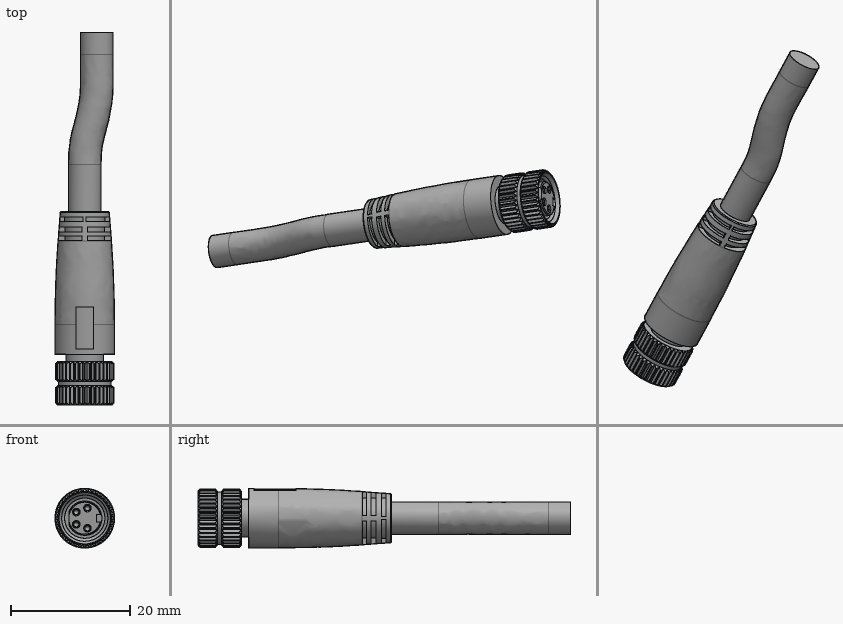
import cadquery as cq
import math

length = 62.5

nut_radius = 4.9
nut_length = 7.3
nut_chamfer = 0.4
waist_radius = 4.45
waist_start = 3.3
waist_end = 3.95
tooth_count = 36
tooth_valley_radius = 4.5
tooth_tip_fraction = 0.2
mouth_radius = 4.3
throat_radius = 3.9
throat_depth = 0.6
bore_radius = 3.4
bore_cone_end = 1.0
bore_depth = 2.5

carrier_radius = 2.9
carrier_chamfer = 0.2
carrier_recess = 0.2
carrier_flat = 2.6
keyway_floor = 2.0
keyway_width = 1.3
keyway_depth = 1.25
contact_circle_radius = 1.75
contact_angles = (75, 144, 216, 285)
contact_radius = 0.45
contact_mouth_radius = 0.6
contact_depth = 1.25

neck_radius = 3.2
grip_start = 8.5
grip_radius = 5.0
taper_start = 13.5
relief_start = 27.5
relief_radius = 4.5
grip_end = 32.5
grip_end_radius = 4.1
grip_end_chamfer = 0.2

window_rows = ((27.55, 28.3, 0.9), (29.05, 29.9, 0.9), (30.8, 31.55, 0.5))
window_floor_radius = 3.4

label_width = 2.95
label_start = 9.45
label_end = 16.45
label_depth = 0.1

overlap = 0.6

cable_radius = 2.75
bend_start = 40.3
bend_end = 58.75
cable_offset = 2.0
bend_points = ((0, bend_start), (0.28, 44.05), (1.05, 47.2), (1.7, 50.05), (cable_offset, bend_end))


def revolve_y(points):
    """Revolve a closed (radius, y) outline about the Y axis."""
    return cq.Workplane("XY").polyline(points).close().revolve(360, (0, 0, 0), (0, 1, 0))


def cylinder_y(radius, start, end, x=0.0):
    return cq.Workplane("XZ", origin=(x, start, 0)).circle(radius).extrude(start - end)


def box(x_range, y_range, z_range):
    sizes = [high - low for low, high in (x_range, y_range, z_range)]
    corner = (x_range[0], y_range[0], z_range[0])
    return cq.Workplane("XY").box(*sizes, centered=False).translate(corner)


def toothed_prism():
    """Star-shaped bar whose narrow tooth tips lie on the nut radius."""
    pitch = 2 * math.pi / tooth_count
    half_tip = pitch * tooth_tip_fraction / 2
    corners = []
    for tooth in range(tooth_count):
        middle = tooth * pitch
        for radius, angle in (
            (nut_radius, middle - half_tip),
            (nut_radius, middle + half_tip),
            (tooth_valley_radius, middle + pitch / 2),
        ):
            corners.append((radius * math.cos(angle), radius * math.sin(angle)))
    return cq.Workplane("XZ").polyline(corners).close().extrude(-nut_length)


def make_nut():
    shoulder = nut_radius - nut_chamfer
    blank = revolve_y([
        (0, 0),
        (shoulder, 0),
        (nut_radius, nut_chamfer),
        (nut_radius, waist_start - nut_chamfer),
        (waist_radius, waist_start),
        (waist_radius, waist_end),
        (nut_radius, waist_end + nut_chamfer),
        (nut_radius, nut_length - nut_chamfer),
        (shoulder, nut_length),
        (0, nut_length),
    ])
    cavity = revolve_y([
        (0, 0),
        (mouth_radius, 0),
        (throat_radius, throat_depth),
        (bore_radius, bore_cone_end),
        (bore_radius, bore_depth),
        (0, bore_depth),
    ])
    return blank.intersect(toothed_prism()).cut(cavity)


def contact_hole(angle):
    """Hole with a chamfered mouth and a conical bottom, placed on the contact circle."""
    mouth_depth = contact_mouth_radius - contact_radius
    hole = revolve_y([
        (0, carrier_recess),
        (contact_mouth_radius, carrier_recess),
        (contact_radius, carrier_recess + mouth_depth),
        (contact_radius, contact_depth),
        (0, contact_depth + contact_radius),
    ])
    x = contact_circle_radius * math.cos(math.radians(angle))
    z = contact_circle_radius * math.sin(math.radians(angle))
    return hole.translate((x, 0, z))


def make_carrier():
    carrier = cylinder_y(carrier_radius, carrier_recess, nut_length).faces("<Y").chamfer(carrier_chamfer)
    side = (-carrier_radius, carrier_radius)
    carrier = carrier.cut(box((-2 * carrier_radius, -carrier_flat), (0, bore_depth), side))
    keyway_side = (-keyway_width / 2, keyway_width / 2)
    carrier = carrier.cut(box((keyway_floor, 2 * carrier_radius), (0, keyway_depth), keyway_side))
    for angle in contact_angles:
        carrier = carrier.cut(contact_hole(angle))
    return carrier


def window_row(start, end, rib_width):
    """Four quarter-ring windows separated by ribs on the X and Z axes."""
    ring = cylinder_y(2 * grip_radius, start, end).cut(cylinder_y(window_floor_radius, start, end))
    reach = 2 * grip_radius
    half_rib = rib_width / 2
    ring = ring.cut(box((-half_rib, half_rib), (start, end), (-reach, reach)))
    return ring.cut(box((-reach, reach), (start, end), (-half_rib, half_rib)))


def make_grip():
    run = relief_start - taper_start
    drop = grip_radius - relief_radius
    arc_radius = (run ** 2 + drop ** 2) / (2 * drop)
    half_run = run / 2
    arc_middle = grip_radius - arc_radius + math.sqrt(arc_radius ** 2 - half_run ** 2)
    grip = (
        cq.Workplane("XY")
        .moveTo(0, grip_start)
        .lineTo(grip_radius, grip_start)
        .lineTo(grip_radius, taper_start)
        .threePointArc((arc_middle, taper_start + half_run), (relief_radius, relief_start))
        .lineTo(grip_end_radius, grip_end - grip_end_chamfer)
        .lineTo(grip_end_radius - grip_end_chamfer, grip_end)
        .lineTo(0, grip_end)
        .close()
        .revolve(360, (0, 0, 0), (0, 1, 0))
    )
    for start, end, rib_width in window_rows:
        grip = grip.cut(window_row(start, end, rib_width))
    label_side = (-label_width / 2, label_width / 2)
    label_block = box(label_side, (label_start, label_end), (0, 2 * grip_radius))
    label_floor = cylinder_y(grip_radius - label_depth, label_start, label_end)
    return grip.cut(label_block.cut(label_floor))


def make_cable():
    path = cq.Workplane("XY").spline(bend_points, tangents=[(0, 1), (0, 1)])
    bend = cq.Workplane("XZ", origin=(0, bend_start, 0)).circle(cable_radius).sweep(path)
    near_end = cylinder_y(cable_radius, grip_end - overlap, bend_start)
    far_end = cylinder_y(cable_radius, bend_end, length, x=cable_offset)
    return near_end.union(bend).union(far_end)


neck = cylinder_y(neck_radius, nut_length - overlap, grip_start + overlap)
result = make_nut().union(make_carrier()).union(neck).union(make_grip()).union(make_cable())